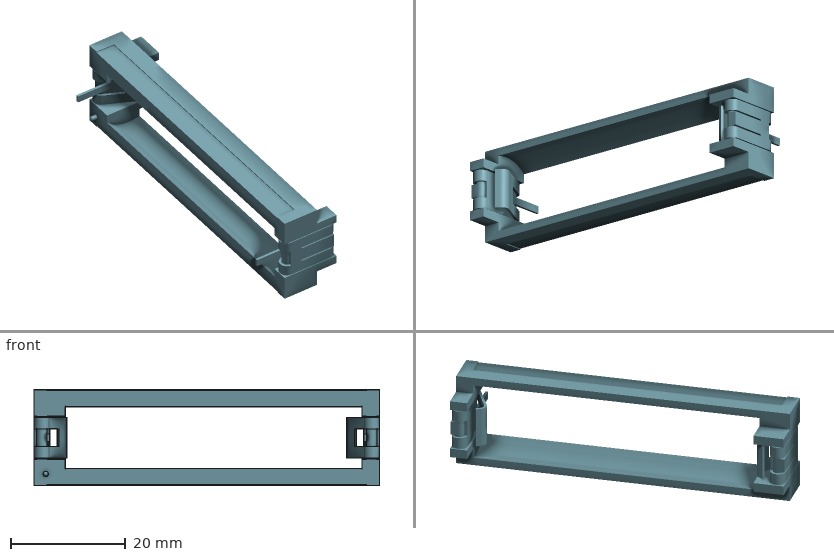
import cadquery as cq
import math


LENGTH = 60.2
HEIGHT = 16.75
DEPTH = 10.95
BAR_DEPTH = 6.85
TAB_HEIGHT = 10.7
LEFT_BLOCK = 5.5
RIGHT_BLOCK = 3.1
SLOT_HEIGHT = 7.45
TROUGH_RADIUS = 7.2

RECESS_DEPTH = 0.2
RECESS_WIDTH = 3.7
RECESS_MARGIN = 2.2

STUD_RADIUS = 0.45
STUD_STRAIGHT = 0.8
STUD_FROM_END = 2.05
STUD_Z = -6.3

SHEET = 0.5
CURL_RADIUS = 1.4
CLIP_HEIGHT = 7.1
WINDOW_HEIGHT = 3.1
LEG_BRIDGE = 2.15
TIP_RADIUS = 1.45
TIP_REACH = 5.7
TIP_FROM_BACK = 3.4
TIP_ANGLE = 60.0
TIP_STRAIGHT = 0.85
WINDOW_REACH = 4.4
PIN_LENGTH = 4.3
PIN_WIDTH = 1.3
SHOULDER_FROM_FRONT = 2.7

LUG_HEIGHT = 2.45

INNER_CURL_RADIUS = CURL_RADIUS - SHEET
FRONT_CURL = (CURL_RADIUS, CURL_RADIUS)
BACK_CURL = (CURL_RADIUS, DEPTH - CURL_RADIUS)
TIP_CENTRE = (TIP_REACH - TIP_RADIUS, DEPTH - TIP_FROM_BACK)
LEG_WINDOW_START = CURL_RADIUS + LEG_BRIDGE


def box(x0, x1, y0, y1, z0, z1):
    """Box between two opposite corners."""
    return cq.Workplane("XY").box(x1 - x0, y1 - y0, z1 - z0, centered=False).translate((x0, y0, z0))


def z_centred_box(x0, x1, y0, y1, height):
    """Box that is centred on Z = 0."""
    return box(x0, x1, y0, y1, -height / 2, height / 2)


def polar(centre, radius, degrees):
    """Point on a circle."""
    angle = math.radians(degrees)
    return (centre[0] + radius * math.cos(angle), centre[1] + radius * math.sin(angle))


def at_left_end(body):
    """Move a body from a clip's own frame to the left end."""
    return body.translate((-LENGTH / 2, 0, 0))


def at_right_end(body):
    """Mirror a body from a clip's own frame to the right end."""
    return at_left_end(body).mirror("YZ")


def make_frame():
    """Rectangular frame with a stepped back, a round battery bed and slotted ends."""
    left, right = -LENGTH / 2, LENGTH / 2
    inner_left, inner_right = left + LEFT_BLOCK, right - RIGHT_BLOCK
    frame = z_centred_box(left, right, 0, BAR_DEPTH, HEIGHT)
    frame = frame.union(z_centred_box(left, right, 0, DEPTH, TAB_HEIGHT))
    frame = frame.cut(z_centred_box(inner_left, inner_right, 0, DEPTH, TAB_HEIGHT))
    trough_y = math.sqrt(TROUGH_RADIUS ** 2 - (TAB_HEIGHT / 2) ** 2)
    trough = (
        cq.Workplane("YZ", origin=(inner_left, 0, 0))
        .center(trough_y, 0)
        .circle(TROUGH_RADIUS)
        .extrude(inner_right - inner_left)
    )
    frame = frame.cut(trough)
    return frame.cut(z_centred_box(left, right, 0, DEPTH, SLOT_HEIGHT))


def make_post():
    """Round-ended post across the slot, with a lug flush with the housing's end face."""
    post = (
        cq.Workplane("XY", origin=(0, 0, -SLOT_HEIGHT / 2))
        .center(CURL_RADIUS, DEPTH / 2)
        .slot2D(DEPTH - 2 * SHEET, 2 * INNER_CURL_RADIUS, 90)
        .extrude(SLOT_HEIGHT)
    )
    lug = z_centred_box(0, CURL_RADIUS, LEG_WINDOW_START, DEPTH - SHEET, LUG_HEIGHT)
    return post.union(lug)


def make_recess(side):
    """Label recess in the top (side = 1) or bottom (side = -1) face."""
    half_length = LENGTH / 2 - RECESS_MARGIN
    floor, face = HEIGHT / 2 - RECESS_DEPTH, HEIGHT / 2
    z0, z1 = sorted((side * floor, side * face))
    return box(-half_length, half_length, 0, RECESS_WIDTH, z0, z1)


def make_stud():
    """Short round stud with a domed end."""
    return (
        cq.Workplane("XY")
        .lineTo(STUD_RADIUS, 0)
        .lineTo(STUD_RADIUS, -STUD_STRAIGHT)
        .radiusArc((0, -STUD_STRAIGHT - STUD_RADIUS), STUD_RADIUS)
        .close()
        .revolve(360, (0, 0, 0), (0, 1, 0))
        .translate((STUD_FROM_END - LENGTH / 2, 0, STUD_Z))
    )


def make_housing():
    housing = make_frame()
    for place in (at_left_end, at_right_end):
        housing = housing.union(place(make_post()))
    for side in (1, -1):
        housing = housing.cut(make_recess(side))
    return housing.union(make_stud())


def contact_leg_angle():
    """Angle of the contact leg's normal, tangent to the front curl and the contact bend."""
    dx = TIP_CENTRE[0] - FRONT_CURL[0]
    dy = TIP_CENTRE[1] - FRONT_CURL[1]
    lean = math.atan2(dx, dy)
    taper = math.asin((TIP_RADIUS - CURL_RADIUS) / math.hypot(dx, dy))
    return -math.degrees(lean + taper)


def make_strip():
    """Bent strip at full height: back curl, outer leg, front curl, contact leg and contact."""
    normal = contact_leg_angle()

    def tip_end(radius):
        x, y = polar(TIP_CENTRE, radius, TIP_ANGLE)
        run = math.radians(TIP_ANGLE + 90)
        return (x + TIP_STRAIGHT * math.cos(run), y + TIP_STRAIGHT * math.sin(run))

    curl_mid = (normal - 180) / 2
    tip_mid = (normal + TIP_ANGLE) / 2
    inner_tip = TIP_RADIUS - SHEET
    return (
        cq.Workplane("XY", origin=(0, 0, -CLIP_HEIGHT / 2))
        .moveTo(*polar(BACK_CURL, CURL_RADIUS, 0))
        .threePointArc(polar(BACK_CURL, CURL_RADIUS, 90), polar(BACK_CURL, CURL_RADIUS, 180))
        .lineTo(*polar(FRONT_CURL, CURL_RADIUS, 180))
        .threePointArc(polar(FRONT_CURL, CURL_RADIUS, curl_mid), polar(FRONT_CURL, CURL_RADIUS, normal))
        .lineTo(*polar(TIP_CENTRE, TIP_RADIUS, normal))
        .threePointArc(polar(TIP_CENTRE, TIP_RADIUS, tip_mid), polar(TIP_CENTRE, TIP_RADIUS, TIP_ANGLE))
        .lineTo(*tip_end(TIP_RADIUS))
        .lineTo(*tip_end(inner_tip))
        .lineTo(*polar(TIP_CENTRE, inner_tip, TIP_ANGLE))
        .threePointArc(polar(TIP_CENTRE, inner_tip, tip_mid), polar(TIP_CENTRE, inner_tip, normal))
        .lineTo(*polar(FRONT_CURL, INNER_CURL_RADIUS, normal))
        .threePointArc(
            polar(FRONT_CURL, INNER_CURL_RADIUS, curl_mid), polar(FRONT_CURL, INNER_CURL_RADIUS, 180)
        )
        .lineTo(*polar(BACK_CURL, INNER_CURL_RADIUS, 180))
        .threePointArc(
            polar(BACK_CURL, INNER_CURL_RADIUS, 90), polar(BACK_CURL, INNER_CURL_RADIUS, 0)
        )
        .close()
        .extrude(CLIP_HEIGHT)
    )


def make_pin_plate():
    """Flat return leg along the post that narrows at 45 degrees into the solder pin."""
    half_pin, half_clip = PIN_WIDTH / 2, CLIP_HEIGHT / 2
    taper_end = SHOULDER_FROM_FRONT + half_clip - half_pin
    return (
        cq.Workplane("YZ", origin=(2 * CURL_RADIUS - SHEET, 0, 0))
        .polyline([
            (-PIN_LENGTH, -half_pin),
            (SHOULDER_FROM_FRONT, -half_pin),
            (taper_end, -half_clip),
            (BACK_CURL[1], -half_clip),
            (BACK_CURL[1], half_clip),
            (taper_end, half_clip),
            (SHOULDER_FROM_FRONT, half_pin),
            (-PIN_LENGTH, half_pin),
        ])
        .close()
        .extrude(SHEET)
    )


def make_clip():
    """Spring clip with its outer face at X = 0."""
    front_window = z_centred_box(0, WINDOW_REACH, 0, CURL_RADIUS, WINDOW_HEIGHT)
    contact_window = z_centred_box(CURL_RADIUS, WINDOW_REACH, 0, TIP_CENTRE[1], WINDOW_HEIGHT)
    back_window = z_centred_box(0, 2 * CURL_RADIUS, LEG_WINDOW_START, DEPTH, WINDOW_HEIGHT)
    clip = make_strip()
    for window in (front_window, contact_window, back_window):
        clip = clip.cut(window)
    return clip.union(make_pin_plate())


housing = make_housing()
clips = [place(make_clip()) for place in (at_left_end, at_right_end)]

result = cq.Compound.makeCompound([housing.solids().val(), *[clip.solids().val() for clip in clips]])